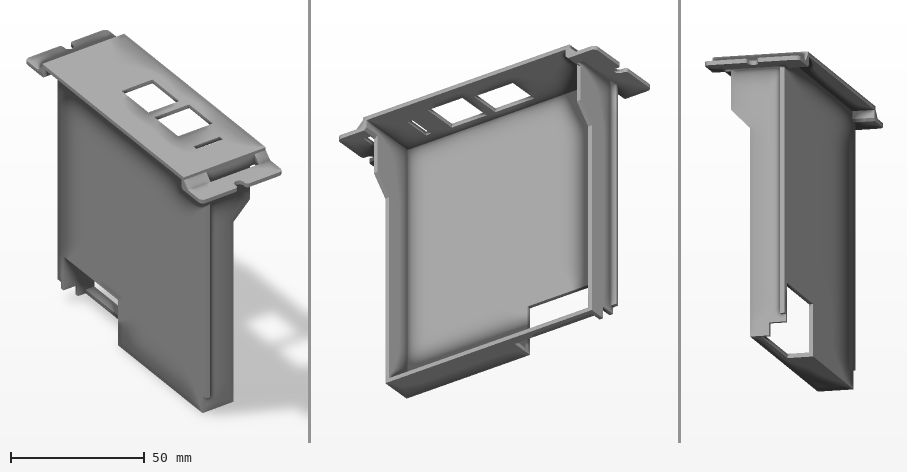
import cadquery as cq

LENGTH = 118.0
DEPTH = 37.0
HEIGHT = 108.2
SHEET = 1.7

PLATE_HALF = 47.2
EAR_DROP = 4.1
STEP_RUN = 3.0
STEP_INNER_CHAMFER = 1.1
EAR_CORNER_RADIUS = 2.0
NOTCH_DEPTH = 4.0
NOTCH_WIDTH = 3.8
NOTCH_MOUTH_RADIUS = 1.2
STEP_SLOT_BACK = 13.5

FRONT = -10.0
FRONT_WALL_BACK = FRONT + SHEET
BACK_LOW = 3.9
BACK_HIGH = 11.3
TAPER_TOP = HEIGHT - 20.6
TAPER_BOTTOM = TAPER_TOP - (BACK_HIGH - BACK_LOW)
INNER_HALF = PLATE_HALF - SHEET

STRIP_BACK_HALF = 49.8
STRIP_FRONT_HALF = 49.5
STRIP_BOTTOM = 7.8

WINDOW_RIGHT = -9.2
WINDOW_TOP = 20.2
FLOOR_RELIEF_BACK = 0.0
SIDE_RELIEF_BACK = -3.5
SIDE_RELIEF_TOP = 5.0

PLATE_OPENINGS = [
    (-15.1, 2.7, -4.4, 9.5),
    (6.7, 22.5, -4.4, 11.3),
    (31.5, 33.7, -3.5, 8.4),
]


def block(x_min, x_max, y_min, y_max, z_min, z_max):
    """Box given by its limits along each axis."""
    size = (x_max - x_min, y_max - y_min, z_max - z_min)
    return cq.Workplane("XY").box(*size, centered=False).translate((x_min, y_min, z_min))


def make_plate():
    """Top plate with a 45 degree step down to an ear at each end."""
    ear_top = HEIGHT - EAR_DROP
    ear_bottom = ear_top - SHEET
    step_outer = PLATE_HALF + STEP_RUN
    half_profile = [
        (0, HEIGHT),
        (PLATE_HALF, HEIGHT),
        (PLATE_HALF, ear_top + STEP_RUN),
        (step_outer, ear_top),
        (LENGTH / 2, ear_top),
        (LENGTH / 2, ear_bottom),
        (INNER_HALF + STEP_INNER_CHAMFER, ear_bottom),
        (INNER_HALF, ear_bottom + STEP_INNER_CHAMFER),
        (INNER_HALF, HEIGHT - SHEET),
        (0, HEIGHT - SHEET),
    ]
    half = cq.Workplane("XZ").polyline(half_profile).close().extrude(DEPTH / 2, both=True)
    half = half.edges("|Z and >X").fillet(EAR_CORNER_RADIUS)

    notch_end = LENGTH / 2 - NOTCH_DEPTH
    notch = (
        cq.Workplane("XY")
        .workplane(offset=ear_bottom)
        .moveTo(LENGTH / 2, -NOTCH_WIDTH / 2)
        .lineTo(notch_end + NOTCH_WIDTH / 2, -NOTCH_WIDTH / 2)
        .threePointArc((notch_end, 0), (notch_end + NOTCH_WIDTH / 2, NOTCH_WIDTH / 2))
        .lineTo(LENGTH / 2, NOTCH_WIDTH / 2)
        .close()
        .extrude(SHEET)
    )
    half = half.cut(notch)
    mouth = cq.selectors.BoxSelector(
        (notch_end + NOTCH_WIDTH, -NOTCH_WIDTH, ear_bottom), (LENGTH, NOTCH_WIDTH, ear_top)
    )
    half = half.edges("|Z").edges(mouth).fillet(NOTCH_MOUTH_RADIUS)

    half = half.cut(
        block(PLATE_HALF, step_outer, FRONT_WALL_BACK, STEP_SLOT_BACK, ear_bottom, HEIGHT)
    )
    plate = half.union(half.mirror("YZ"))
    for x_min, x_max, y_min, y_max in PLATE_OPENINGS:
        plate = plate.cut(block(x_min, x_max, y_min, y_max, HEIGHT - SHEET, HEIGHT))
    return plate


def make_body():
    """Hollow body, taller-backed near the plate, with the front strips that stand out sideways."""
    side_profile = [
        (FRONT, 0),
        (BACK_LOW, 0),
        (BACK_LOW, TAPER_BOTTOM),
        (BACK_HIGH, TAPER_TOP),
        (BACK_HIGH, HEIGHT - SHEET),
        (FRONT, HEIGHT - SHEET),
    ]
    body = cq.Workplane("YZ").polyline(side_profile).close().extrude(PLATE_HALF, both=True)
    body = body.cut(block(-INNER_HALF, INNER_HALF, FRONT_WALL_BACK, BACK_HIGH, SHEET, HEIGHT))

    strip_top = HEIGHT - EAR_DROP - SHEET
    strip_outline = [
        (-STRIP_FRONT_HALF, FRONT),
        (STRIP_FRONT_HALF, FRONT),
        (STRIP_BACK_HALF, FRONT_WALL_BACK),
        (-STRIP_BACK_HALF, FRONT_WALL_BACK),
    ]
    strips = (
        cq.Workplane("XY")
        .workplane(offset=STRIP_BOTTOM)
        .polyline(strip_outline)
        .close()
        .extrude(strip_top - STRIP_BOTTOM)
    )
    return body.union(strips)


def cut_lower_corner(body):
    """Window in the front wall, relief in the floor and relief in the left side wall."""
    window = block(-INNER_HALF, WINDOW_RIGHT, FRONT, FRONT_WALL_BACK, 0, WINDOW_TOP)
    floor_relief = block(-INNER_HALF, WINDOW_RIGHT, FRONT, FLOOR_RELIEF_BACK, 0, SHEET)
    side_relief = block(-PLATE_HALF, -INNER_HALF, FRONT, SIDE_RELIEF_BACK, 0, SIDE_RELIEF_TOP)
    return body.cut(window).cut(floor_relief).cut(side_relief)


result = cut_lower_corner(make_body()).union(make_plate())